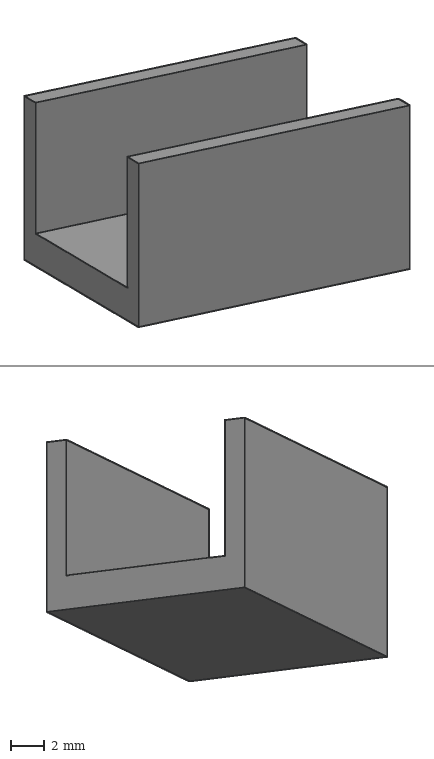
import cadquery as cq

width = 13.3
length = 19.0
height = 10.5

wall_thickness = 1.33
floor_thickness = 2.1

channel_width = width - 2 * wall_thickness
channel_depth = height - floor_thickness

block = cq.Workplane("XY").box(width, length, height, centered=(True, True, False))

channel = (
    cq.Workplane("XY")
    .workplane(offset=floor_thickness)
    .box(channel_width, length, channel_depth, centered=(True, True, False))
)

result = block.cut(channel)